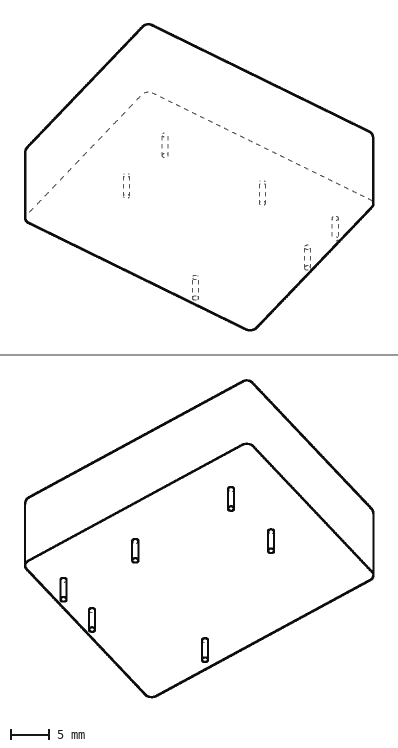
import cadquery as cq

housing_length = 36.07
housing_width = 28.45
edge_radius = 1.0

pin_length = 3.81
pin_diameter = 0.794

overall_height = 17.01
housing_height = overall_height - pin_length
underside_z = 0.0

grid = 2.54
pin_left_x = -4.5 * grid
pin_inner_x = 1.5 * grid
pin_middle_x = 2.5 * grid
pin_right_x = 6.0 * grid
pin_back_y = 3.5 * grid
pin_upper_y = grid
pin_center_y = 0.0
pin_front_y = -4.0 * grid

pin_places = [
    (pin_left_x, pin_back_y),
    (pin_left_x, pin_center_y),
    (pin_inner_x, pin_back_y),
    (pin_middle_x, pin_front_y),
    (pin_right_x, pin_back_y),
    (pin_right_x, pin_upper_y),
]


def make_housing():
    """Block with rounded upright corners and a rounded top rim; the underside rim stays sharp."""
    block = cq.Workplane("XY", origin=(0, 0, underside_z)).box(
        housing_length, housing_width, housing_height, centered=(True, True, False)
    )
    return block.edges("|Z or >Z").fillet(edge_radius)


def make_pin(x, y):
    """Round pin whose upper end butts against the underside of the housing."""
    pin_plane = cq.Workplane("XY", origin=(x, y, underside_z))
    return pin_plane.circle(pin_diameter / 2).extrude(-pin_length)


housing = make_housing()
pins = [make_pin(x, y) for x, y in pin_places]

result = cq.Compound.makeCompound([housing.val(), *[pin.val() for pin in pins]])